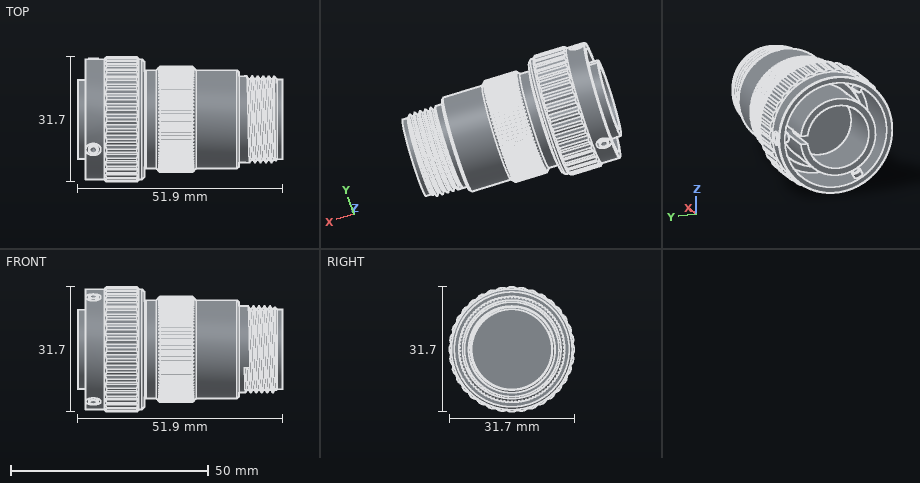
import cadquery as cq
import math

length = 51.9

sleeve_radius = 10.05
sleeve_bore_radius = 8.25
sleeve_bore_depth = 13.5
slot_width = 2.15
slot_length = 11.4

ring_start = 1.8
ring_end = 16.9
ring_radius = 15.3
ring_front_chamfer = 0.15
ring_rear_chamfer = 0.75
ring_bore_radius = 13.7
ring_bore_end = 16.1
shoulder_radius = 11.85
shoulder_start = 15.05

grip_start = 6.7
grip_end = 15.45
grip_radius = 15.85
grip_valley_radius = 15.5
grip_tooth_count = 36
grip_tooth_flat = 0.85

pin_count = 3
pin_x = 3.9
pin_diameter = 2.4
pin_inner_radius = 12.15
pin_outer_radius = 15.45
pin_tip_chamfer = 0.2
pin_dimple_diameter = 1.85
pin_dimple_depth = 1.05
countersink_diameter = 3.85
countersink_depth = 0.4

body_radius = 12.5
body_front_chamfer = 0.4
body_end = 40.85
body_rear_chamfer = 0.5

knurl_start = 19.85
knurl_end = 29.95
knurl_radius = 13.45
knurl_valley_radius = 13.15
knurl_tooth_count = 90
knurl_tooth_flat = 0.45

thread_radius = 11.0
thread_root_radius = 10.35
thread_end = 50.5
thread_pitch = 1.4
crest_flat = 0.05
root_flat = 0.45
groove_start = 42.85
groove_start_angle = 205.4
tail_radius = 10.15

cut_margin = 0.25


def revolve_profile(points):
    """Revolve an (x, radius) outline about the X axis."""
    return cq.Workplane("XY").polyline(points).close().revolve(360, (0, 0, 0), (1, 0, 0))


def cylinder(radius, start, end):
    """Cylinder on the X axis, with its seam toward +Z so that no pin sits on it."""
    plane = cq.Plane(origin=(start, 0, 0), xDir=(0, 0, 1), normal=(1, 0, 0))
    return cq.Workplane(plane).circle(radius).extrude(end - start)


def toothed_band(start, end, base_radius, tip_radius, valley_radius, count, tooth_flat):
    """Band of straight flat-topped teeth with V valleys and 45 degree conical ends."""
    half_pitch = math.pi / count
    half_flat = math.atan(tooth_flat / 2 / tip_radius)
    corner_radius = math.hypot(tip_radius, tooth_flat / 2)
    outline = []
    for tooth in range(count):
        centre = 2 * math.pi * tooth / count
        for radius, angle in (
            (corner_radius, centre - half_flat),
            (corner_radius, centre + half_flat),
            (valley_radius, centre + half_pitch),
        ):
            outline.append((radius * math.cos(angle), radius * math.sin(angle)))
    teeth = cq.Workplane("YZ", origin=(start, 0, 0)).polyline(outline).close().extrude(end - start)
    rise = corner_radius - base_radius
    envelope = revolve_profile([
        (start, 0),
        (start, base_radius),
        (start + rise, corner_radius),
        (end - rise, corner_radius),
        (end, base_radius),
        (end, 0),
    ])
    return teeth.intersect(envelope)


def coupling_ring():
    ring = cylinder(ring_radius, ring_start, ring_end)
    ring = ring.faces("<X").chamfer(ring_front_chamfer).faces(">X").chamfer(ring_rear_chamfer)
    grip = toothed_band(
        grip_start, grip_end, ring_radius, grip_radius, grip_valley_radius, grip_tooth_count, grip_tooth_flat
    )
    return ring.union(grip).cut(cylinder(ring_bore_radius, ring_start, ring_bore_end))


def sleeve():
    """Sleeve and its shoulder, with a round-ended slot through the wall on the +Y side."""
    body = cylinder(sleeve_radius, 0, ring_end).union(cylinder(shoulder_radius, shoulder_start, ring_end))
    body = body.cut(cylinder(sleeve_bore_radius, 0, sleeve_bore_depth))
    slot = cq.Workplane("XZ").slot2D(2 * slot_length, slot_width).extrude(-(sleeve_radius + cut_margin))
    return body.cut(slot)


def rear_body():
    """Plain barrel, knurled band and the blank for the thread."""
    barrel = cylinder(body_radius, ring_end, body_end)
    barrel = barrel.faces("<X").chamfer(body_front_chamfer).faces(">X").chamfer(body_rear_chamfer)
    knurl = toothed_band(
        knurl_start,
        knurl_end,
        body_radius,
        knurl_radius,
        knurl_valley_radius,
        knurl_tooth_count,
        knurl_tooth_flat,
    )
    thread_blank = cylinder(thread_radius, body_end, thread_end)
    thread_blank = thread_blank.faces(">X").chamfer(thread_radius - tail_radius)
    tail = cylinder(tail_radius, body_end, length)
    return barrel.union(knurl).union(thread_blank.union(tail))


def thread_groove():
    """Right-handed helical groove, built along Z from +X and then turned onto the X axis."""
    half_mouth = (thread_pitch - crest_flat) / 2
    half_root = root_flat / 2
    clear_radius = thread_radius + cut_margin
    run = thread_end - groove_start + half_mouth
    section = [
        (thread_root_radius, -half_root),
        (thread_radius, -half_mouth),
        (clear_radius, -half_mouth),
        (clear_radius, half_mouth),
        (thread_radius, half_mouth),
        (thread_root_radius, half_root),
    ]
    helices = [
        cq.Wire.makeHelix(thread_pitch, run, radius, center=cq.Vector(0, 0, height))
        for radius, height in section
    ]
    faces = []
    for helix, next_helix in zip(helices, helices[1:] + helices[:1]):
        faces.extend(cq.Face.makeRuledSurface(helix, next_helix).Faces())
    for corners in (
        [helix.startPoint() for helix in helices],
        [helix.endPoint() for helix in helices],
    ):
        faces.append(cq.Face.makeFromWires(cq.Wire.makePolygon(corners, close=True)))
    groove = cq.Workplane(obj=cq.Solid.makeSolid(cq.Shell.makeShell(faces)))
    helix_origin_angle = 270
    turned = groove.rotate((0, 0, 0), (0, 1, 0), 90)
    turned = turned.rotate((0, 0, 0), (1, 0, 0), groove_start_angle - helix_origin_angle)
    return turned.translate((groove_start, 0, 0))


def add_pin(part, angle):
    """Fit one radial pin: countersink the ring, then add the pin and its conical dimple."""
    flare = (countersink_diameter - pin_diameter) / 2 / countersink_depth
    countersink = cq.Workplane(obj=cq.Solid.makeCone(
        pin_diameter / 2,
        countersink_diameter / 2 + flare * cut_margin,
        countersink_depth + cut_margin,
        pnt=cq.Vector(pin_x, ring_radius - countersink_depth, 0),
        dir=cq.Vector(0, 1, 0),
    ))
    pin = (
        cq.Workplane("XZ", origin=(pin_x, pin_inner_radius, 0))
        .circle(pin_diameter / 2)
        .extrude(pin_inner_radius - pin_outer_radius)
        .faces("<Y")
        .chamfer(pin_tip_chamfer)
    )
    dimple = cq.Workplane(obj=cq.Solid.makeCone(
        pin_dimple_diameter / 2,
        0,
        pin_dimple_depth,
        pnt=cq.Vector(pin_x, pin_outer_radius, 0),
        dir=cq.Vector(0, -1, 0),
    ))

    def placed(shape):
        return shape.rotate((0, 0, 0), (1, 0, 0), angle)

    return part.cut(placed(countersink)).union(placed(pin)).cut(placed(dimple))


ring = coupling_ring()
for pin_number in range(pin_count):
    ring = add_pin(ring, pin_number * 360 / pin_count)

result = ring.union(sleeve()).union(rear_body().cut(thread_groove()))